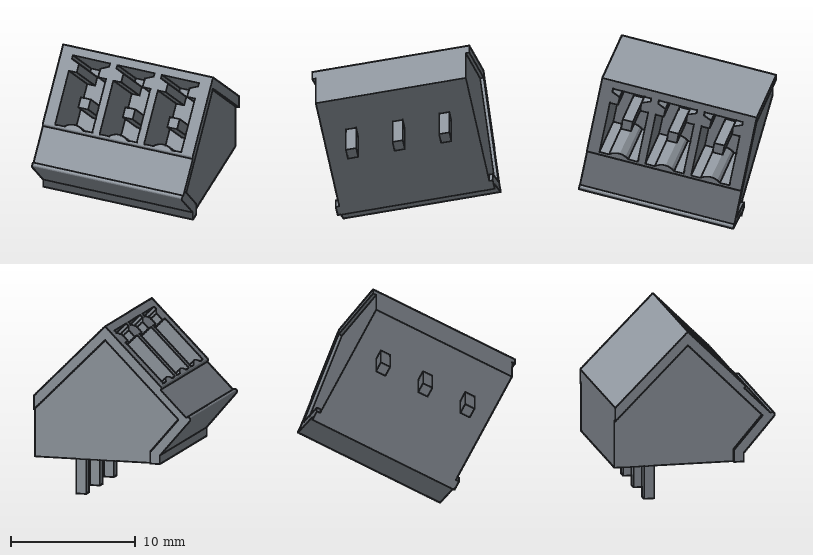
import cadquery as cq
import math


HOUSING_WIDTH = 12.82
RIDGE_DISTANCE = 5.96
RIDGE_HEIGHT = 10.99
OVERALL_DEPTH = 13.1
FOOT_DISTANCE = 10.56
UNDERSIDE_ANGLE = math.radians(49.5)
LIP_DISTANCE = 6.77
LIP_HEIGHT = 0.2
NOSE_RADIUS = 0.2

PANEL_RIM = 0.8
PANEL_DEPTH = 0.28

POLE_COUNT = 3
PITCH = 3.8

SLOT_DEPTH = 5.96
SLOT_WIDTH = 3.18
SLOT_START = 0.7
FLARE_EDGE = 0.98
FLARE_NECK = 1.28
POCKET_START = 1.99
SLOT_END = 6.46
NECK_WIDTH = 1.83
RIB_WIDTH = 1.6
RIB_RISE = 0.3

PIN_SIZE = 0.84
PIN_DISTANCE = 3.28
TAIL_LENGTH = 3.21
PIN_TIP_ALONG = 4.15
PIN_TIP_DEPTH = 1.2

SLOPE = math.sqrt(0.5)
POLE_POSITIONS = [(i - (POLE_COUNT - 1) / 2) * PITCH for i in range(POLE_COUNT)]


def face_point(along, depth):
    """(y, z) at a distance down the mating face and a depth below it."""
    y = -RIDGE_DISTANCE - (along - depth) * SLOPE
    z = RIDGE_HEIGHT - (along + depth) * SLOPE
    return y, z


def extrude_across(outline, width):
    """Extrude a closed YZ outline, centred on X = 0."""
    return outline.extrude(width / 2, both=True)


nose_distance = OVERALL_DEPTH - NOSE_RADIUS
nose_center = (-nose_distance, RIDGE_HEIGHT + RIDGE_DISTANCE - LIP_HEIGHT / SLOPE - nose_distance)


def nose_point(angle):
    """(y, z) on the nose round, at an angle above straight forward."""
    return (
        nose_center[0] - NOSE_RADIUS * math.cos(angle),
        nose_center[1] + NOSE_RADIUS * math.sin(angle),
    )


underside_start = nose_point(UNDERSIDE_ANGLE - math.radians(90))
foot_height = underside_start[1] - (-FOOT_DISTANCE - underside_start[0]) * math.tan(UNDERSIDE_ANGLE)
foot_top = (-FOOT_DISTANCE, foot_height)


def make_body():
    back_height = RIDGE_HEIGHT - RIDGE_DISTANCE
    lip_round_middle = face_point(LIP_DISTANCE - LIP_HEIGHT * (1 - SLOPE), LIP_HEIGHT * (1 - SLOPE))
    outline = (
        cq.Workplane("YZ")
        .moveTo(0, 0)
        .lineTo(0, back_height)
        .lineTo(-RIDGE_DISTANCE, RIDGE_HEIGHT)
        .lineTo(*face_point(LIP_DISTANCE - LIP_HEIGHT, 0))
        .threePointArc(lip_round_middle, face_point(LIP_DISTANCE, LIP_HEIGHT))
        .lineTo(*nose_point(math.radians(135)))
        .threePointArc(nose_point(0), underside_start)
        .lineTo(*foot_top)
        .lineTo(-FOOT_DISTANCE, 0)
        .close()
    )
    return extrude_across(outline, HOUSING_WIDTH)


def make_panel_outline():
    """Area inside the rim, which runs out at the back wall and at the bottom."""
    face_height_above_foot = RIDGE_HEIGHT + RIDGE_DISTANCE - FOOT_DISTANCE - foot_height
    tip_reach = face_height_above_foot / (1 + math.tan(UNDERSIDE_ANGLE))
    tip = (-FOOT_DISTANCE - tip_reach, foot_height + tip_reach * math.tan(UNDERSIDE_ANGLE))
    return (
        cq.Workplane("YZ")
        .polyline([
            (PANEL_RIM, -PANEL_RIM),
            (PANEL_RIM, RIDGE_HEIGHT - RIDGE_DISTANCE - PANEL_RIM),
            (-RIDGE_DISTANCE, RIDGE_HEIGHT),
            tip,
            foot_top,
            (-FOOT_DISTANCE, -PANEL_RIM),
        ])
        .close()
        .offset2D(-PANEL_RIM, "intersection")
    )


def make_panel(x_outer, direction):
    """Recess block that reaches inward from one side of the housing."""
    return make_panel_outline().extrude(direction * PANEL_DEPTH).translate((x_outer, 0, 0))


def make_slot(x):
    """Contact slot, sunk square to the mating face."""
    mating_plane = cq.Plane(
        origin=(x, -RIDGE_DISTANCE, RIDGE_HEIGHT), xDir=(1, 0, 0), normal=(0, -1, 1)
    )
    side = SLOT_WIDTH / 2
    neck = NECK_WIDTH / 2
    rib = RIB_WIDTH / 2
    return (
        cq.Workplane(mating_plane)
        .moveTo(-side, -SLOT_START)
        .lineTo(side, -SLOT_START)
        .lineTo(side, -FLARE_EDGE)
        .lineTo(neck, -FLARE_NECK)
        .lineTo(neck, -POCKET_START)
        .lineTo(side, -POCKET_START)
        .lineTo(side, -SLOT_END)
        .lineTo(rib, -SLOT_END)
        .threePointArc((0, RIB_RISE - SLOT_END), (-rib, -SLOT_END))
        .lineTo(-side, -SLOT_END)
        .lineTo(-side, -POCKET_START)
        .lineTo(-neck, -POCKET_START)
        .lineTo(-neck, -FLARE_NECK)
        .lineTo(-side, -FLARE_EDGE)
        .close()
        .extrude(-SLOT_DEPTH)
    )


def make_pin(x):
    """Square pin: a vertical tail bent 45 degrees into the contact."""
    half = PIN_SIZE / 2
    axis_y, axis_z = face_point(PIN_TIP_ALONG, 0)
    bend_height = axis_z - (-PIN_DISTANCE - axis_y)
    miter = half * math.tan(math.radians(22.5))
    outline = (
        cq.Workplane("YZ")
        .polyline([
            (-PIN_DISTANCE + half, -TAIL_LENGTH),
            (-PIN_DISTANCE + half, bend_height + miter),
            face_point(PIN_TIP_ALONG - half, PIN_TIP_DEPTH),
            face_point(PIN_TIP_ALONG + half, PIN_TIP_DEPTH),
            (-PIN_DISTANCE - half, bend_height - miter),
            (-PIN_DISTANCE - half, -TAIL_LENGTH),
        ])
        .close()
    )
    return extrude_across(outline, PIN_SIZE).translate((x, 0, 0))


def make_housing(pins):
    housing = make_body()
    housing = housing.cut(make_panel(-HOUSING_WIDTH / 2, 1))
    housing = housing.cut(make_panel(HOUSING_WIDTH / 2, -1))
    for x in POLE_POSITIONS:
        housing = housing.cut(make_slot(x))
    for pin in pins:
        housing = housing.cut(pin)
    return housing


pins = [make_pin(x) for x in POLE_POSITIONS]
housing = make_housing(pins)

result = cq.Compound.makeCompound([housing.val(), *[pin.val() for pin in pins]])